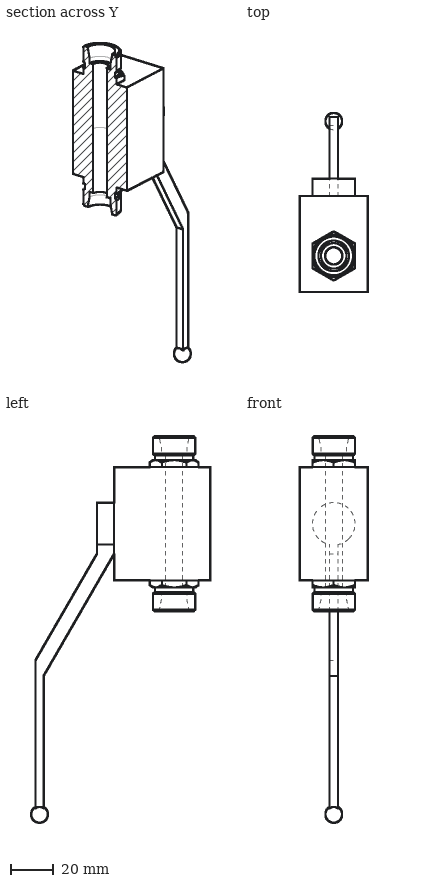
import cadquery as cq
import math


block_width = 32.0
block_depth = 45.0
block_height = 53.0
block_front = -17.0
block_back = block_front + block_depth
block_top = block_height / 2

fitting_length = 14.5
thread_diameter = 20.0
neck_diameter = 18.1
neck_end = 5.5
thread_relief = (thread_diameter - neck_diameter) / 2
end_chamfer = 0.9
hex_across_flats = 20.0
hex_height = 3.3
hex_chamfer_angle = 35

bore_diameter = 8.0
socket_diameter = 12.0
mouth_diameter = 14.3
mouth_half_angle = 12
socket_depth = 8.0

boss_diameter = 20.0
boss_length = 8.1
boss_end = block_back + boss_length

full_height = 181.0
full_depth = 84.0
lever_width = 4.0
grip_thickness = 4.0
crank_angle = 60
crank_start = -14.1
ball_diameter = 8.0
ball_y = block_front + full_depth - ball_diameter / 2
ball_z = block_top + fitting_length - full_height + ball_diameter / 2


def revolve_profile(points):
    """Revolve an outline of (radius, height) points about the Z axis."""
    outline = cq.Workplane("XZ").polyline(points).close()
    return outline.revolve(360, (0, 0, 0), (0, 1, 0))


def make_hexagon():
    corner_radius = hex_across_flats / 2 / math.cos(math.radians(30))
    flat_radius = hex_across_flats / 2
    corner_drop = (corner_radius - flat_radius) * math.tan(math.radians(hex_chamfer_angle))
    hexagon = (
        cq.Workplane("XY")
        .polygon(6, 2 * corner_radius)
        .extrude(hex_height)
        .rotate((0, 0, 0), (0, 0, 1), 30)
    )
    chamfer_envelope = revolve_profile([
        (0, 0),
        (corner_radius, 0),
        (corner_radius, hex_height - corner_drop),
        (flat_radius, hex_height),
        (0, hex_height),
    ])
    return hexagon.intersect(chamfer_envelope)


def make_fitting():
    """Fitting standing on Z = 0, before boring."""
    neck_radius = neck_diameter / 2
    thread_radius = thread_diameter / 2
    stem = revolve_profile([
        (0, 0),
        (neck_radius, 0),
        (neck_radius, neck_end),
        (thread_radius, neck_end + thread_relief),
        (thread_radius, fitting_length - end_chamfer),
        (thread_radius - end_chamfer, fitting_length),
        (0, fitting_length),
    ])
    return stem.union(make_hexagon())


def make_socket():
    """Tapered mouth and tube socket of a fitting standing on Z = 0."""
    socket_radius = socket_diameter / 2
    mouth_radius = mouth_diameter / 2
    taper_depth = (mouth_radius - socket_radius) / math.tan(math.radians(mouth_half_angle))
    socket_floor = fitting_length - socket_depth
    return revolve_profile([
        (0, socket_floor),
        (socket_radius, socket_floor),
        (socket_radius, fitting_length - taper_depth),
        (mouth_radius, fitting_length),
        (0, fitting_length),
    ])


def at_both_ends(shape):
    """Place a shape on the top of the block and mirror it to the bottom."""
    upper = shape.translate((0, 0, block_top))
    return upper.union(upper.mirror("XY"))


def make_block():
    return cq.Workplane("XY").box(block_width, block_depth, block_height).translate(
        (0, block_front + block_depth / 2, 0)
    )


def make_boss():
    boss = cq.Workplane("XZ").circle(boss_diameter / 2).extrude(-boss_length)
    return boss.translate((0, block_back, 0))


def make_lever():
    slope = math.tan(math.radians(crank_angle))
    grip_inner = ball_y - grip_thickness / 2
    grip_outer = ball_y + grip_thickness / 2
    arm = (
        cq.Workplane("YZ")
        .polyline([
            (block_back, 0),
            (block_back, crank_start),
            (grip_inner, crank_start - (grip_inner - block_back) * slope),
            (grip_inner, ball_z),
            (grip_outer, ball_z),
            (grip_outer, crank_start - (grip_outer - boss_end) * slope),
            (boss_end, crank_start),
            (boss_end, 0),
        ])
        .close()
        .extrude(lever_width / 2, both=True)
    )
    ball = cq.Workplane("XY").sphere(ball_diameter / 2).translate((0, ball_y, ball_z))
    return arm.union(ball)


bore_length = block_height + 2 * fitting_length
bore = cq.Workplane("XY").circle(bore_diameter / 2).extrude(bore_length / 2, both=True)

result = (
    make_block()
    .union(at_both_ends(make_fitting()))
    .union(make_boss())
    .union(make_lever())
    .cut(at_both_ends(make_socket()))
    .cut(bore)
)